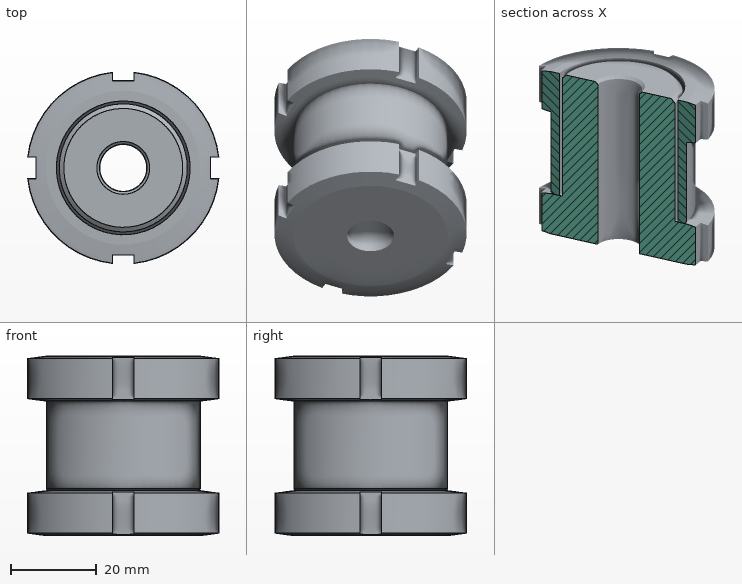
import cadquery as cq
import math

width_over_slots = 44.7
total_height = 42.0

flange_height = 10.5
flange_face_radius = 18.0
cone_height = 0.6
slot_width = 5.0
slot_floor_radius = 20.45
slot_count = 4
flange_radius = math.hypot(width_over_slots / 2, slot_width / 2)

sleeve_radius = flange_face_radius
sleeve_chamfer = 0.5

post_radius = 15.0
post_chamfer = 1.07
bore_radius = 15.65

hole_radius = 5.5
hole_chamfer = 0.65


def slotted_flange(base_z):
    """Round flange with shallow conical ends and wrench slots around its rim."""
    profile = [
        (0, 0),
        (flange_face_radius, 0),
        (flange_radius, cone_height),
        (flange_radius, flange_height - cone_height),
        (flange_face_radius, flange_height),
        (0, flange_height),
    ]
    flange = cq.Workplane("XZ").polyline(profile).close().revolve(360, (0, 0, 0), (0, 1, 0))
    slot = (
        cq.Workplane("XY")
        .box(flange_radius, slot_width, flange_height, centered=(False, True, False))
        .translate((slot_floor_radius, 0, 0))
    )
    for index in range(slot_count):
        angle = index * 360 / slot_count
        flange = flange.cut(slot.rotate((0, 0, 0), (0, 0, 1), angle))
    return flange.translate((0, 0, base_z))


def cylinder(radius, bottom_z, top_z):
    """Upright cylinder on the Z axis."""
    return cq.Workplane("XY").workplane(offset=bottom_z).circle(radius).extrude(top_z - bottom_z)


def make_base():
    """Lower flange with a chamfered post and a through hole."""
    post = cylinder(post_radius, 0, total_height).faces(">Z").chamfer(post_chamfer)
    hole = cylinder(hole_radius, 0, total_height)
    base = slotted_flange(0).union(post).cut(hole)
    hole_rim = base.faces(">Z").edges(cq.selectors.RadiusNthSelector(0))
    return hole_rim.chamfer(hole_chamfer)


def make_sleeve_nut():
    """Upper flange with a sleeve that surrounds the post and rests on the lower flange."""
    sleeve = cylinder(sleeve_radius, flange_height, total_height).faces("<Z").chamfer(sleeve_chamfer)
    bore = cylinder(bore_radius, flange_height, total_height)
    flange = slotted_flange(total_height - flange_height)
    return flange.union(sleeve).cut(bore)


base = make_base()
sleeve_nut = make_sleeve_nut()

result = cq.Compound.makeCompound([base.val(), sleeve_nut.val()])